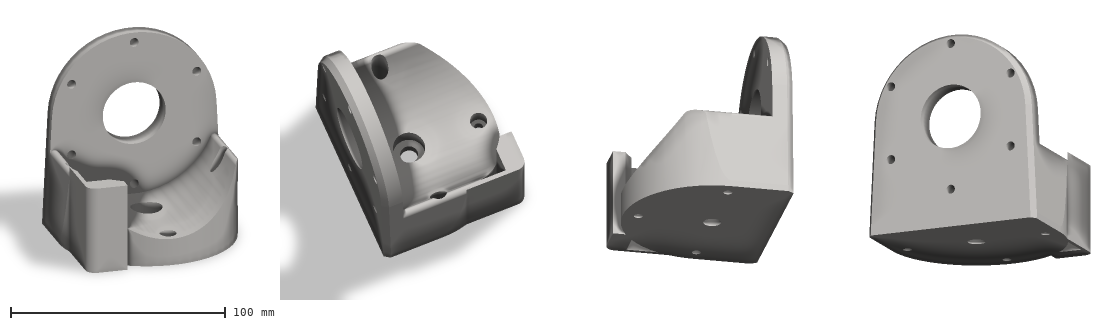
import cadquery as cq
import math

half_width = 42.5
axis_height = 53.0
crown_radius = 40.0
plate_thickness = 10.0
foot_height = 3.0
chamfer_length = 3.0
chamfer_inset = 2.0

bore_diameter = 30.5
bolt_circle_radius = 35.1
bolt_diameter = 4.3
bolt_count = 6

round_center_x = 72.5 - half_width
trough_radius = crown_radius
rim_radius = 2.0

center_hole_diameter = 8.4
center_counterbore_diameter = 15.0
bolt_counterbore_diameter = 8.0
counterbore_floor = 5.0

hook_height = 41.85
hook_outer_y = -40.8
hook_wall = 2.0
hook_end_x = round_center_x + half_width
hook_post_length = 10.0
hook_post_inner_y = -21.8
hook_corner_radius = 4.65
blend_radius = 4.65

side_run = math.hypot(half_width, axis_height - foot_height)
tilt = math.acos(crown_radius / side_run) - math.atan2(axis_height - foot_height, half_width)
contact_y = crown_radius * math.cos(tilt)
contact_z = axis_height + crown_radius * math.sin(tilt)

rim_across = crown_radius - rim_radius
rim_along = math.sqrt((trough_radius + rim_radius) ** 2 - rim_across ** 2)
rim_y = rim_across * math.cos(tilt) + rim_along * math.sin(tilt)
rim_z = axis_height + rim_across * math.sin(tilt) - rim_along * math.cos(tilt)
rim_outer_y = rim_y + rim_radius * math.cos(tilt)
rim_outer_z = rim_z + rim_radius * math.sin(tilt)
rim_inner_share = trough_radius / (trough_radius + rim_radius)
rim_inner_y = rim_y * rim_inner_share
rim_inner_z = axis_height + (rim_z - axis_height) * rim_inner_share


def make_plate():
    floor_y = half_width + foot_height * math.tan(tilt)
    plate = (
        cq.Workplane("YZ")
        .moveTo(-floor_y, 0)
        .lineTo(floor_y, 0)
        .lineTo(contact_y, contact_z)
        .threePointArc((0, axis_height + crown_radius), (-contact_y, contact_z))
        .close()
        .extrude(plate_thickness)
    )
    front_face = plate.faces("<X").val()
    front_edges = [edge for edge in front_face.Edges() if edge.Center().z > foot_height]
    trim = (
        cq.Workplane("XY")
        .rect(2 * plate_thickness, 2 * half_width)
        .extrude(axis_height + crown_radius)
    )
    chamfered = plate.val().chamfer(chamfer_length, chamfer_inset, front_edges)
    plate = cq.Workplane(chamfered).intersect(trim)
    bore = cq.Workplane("YZ").center(0, axis_height).circle(bore_diameter / 2).extrude(plate_thickness)
    bolts = (
        cq.Workplane("YZ")
        .center(0, axis_height)
        .polarArray(bolt_circle_radius, 90, 360, bolt_count)
        .circle(bolt_diameter / 2)
        .extrude(plate_thickness)
    )
    return plate.cut(bore).cut(bolts)


def make_round_end(height):
    return cq.Workplane("XY").center(round_center_x, 0).circle(half_width).extrude(height)


def make_blend():
    arc_y = hook_outer_y - blend_radius
    arc_x = round_center_x + math.sqrt((half_width + blend_radius) ** 2 - arc_y ** 2)
    share = half_width / (half_width + blend_radius)
    tangent = (round_center_x + (arc_x - round_center_x) * share, arc_y * share)
    middle_angle = (math.pi / 2 + math.atan2(-arc_y, round_center_x - arc_x)) / 2
    middle = (
        arc_x + blend_radius * math.cos(middle_angle),
        arc_y + blend_radius * math.sin(middle_angle),
    )
    return (
        cq.Workplane("XY")
        .moveTo(*tangent)
        .threePointArc(middle, (arc_x, hook_outer_y))
        .lineTo(arc_x, hook_outer_y + hook_wall)
        .lineTo(tangent[0], hook_outer_y + hook_wall)
        .close()
        .extrude(hook_height)
    )


def make_base():
    section = (
        cq.Workplane("YZ", origin=(plate_thickness, 0, 0))
        .moveTo(-half_width, 0)
        .lineTo(half_width, 0)
        .lineTo(half_width, foot_height)
        .lineTo(rim_outer_y, rim_outer_z)
        .threePointArc((rim_y, rim_z + rim_radius), (rim_inner_y, rim_inner_z))
        .threePointArc((0, axis_height - trough_radius), (-rim_inner_y, rim_inner_z))
        .threePointArc((-rim_y, rim_z + rim_radius), (-rim_outer_y, rim_outer_z))
        .lineTo(-half_width, foot_height)
        .close()
        .extrude(hook_end_x - plate_thickness)
    )
    straight_length = round_center_x - plate_thickness
    footprint = (
        cq.Workplane("XY", origin=(plate_thickness, 0, 0))
        .rect(2 * straight_length, 2 * half_width)
        .extrude(hook_height)
        .union(make_round_end(hook_height))
        .union(make_blend())
    )
    return section.intersect(footprint)


def make_hook():
    post_x = hook_end_x - hook_post_length
    inner_y = hook_outer_y + hook_wall
    hook = (
        cq.Workplane("XY")
        .moveTo(round_center_x, hook_outer_y)
        .lineTo(hook_end_x, hook_outer_y)
        .lineTo(hook_end_x, hook_post_inner_y)
        .lineTo(post_x, hook_post_inner_y)
        .lineTo(post_x, inner_y)
        .lineTo(round_center_x, inner_y)
        .close()
        .extrude(hook_height)
        .edges(">X and |Z")
        .edges("<Y")
        .fillet(hook_corner_radius)
    )
    return hook.cut(make_round_end(hook_height))


def make_stepped_hole(x, y, diameter, counterbore_diameter):
    through = cq.Workplane("XY").center(x, y).circle(diameter / 2).extrude(hook_height)
    counterbore = (
        cq.Workplane("XY", origin=(x, y, counterbore_floor))
        .circle(counterbore_diameter / 2)
        .extrude(hook_height)
    )
    return through.union(counterbore)


base = make_base()
base = base.cut(make_stepped_hole(round_center_x, 0, center_hole_diameter, center_counterbore_diameter))
for angle in (-90, 0, 90):
    bolt_x = round_center_x + bolt_circle_radius * math.cos(math.radians(angle))
    bolt_y = bolt_circle_radius * math.sin(math.radians(angle))
    base = base.cut(make_stepped_hole(bolt_x, bolt_y, bolt_diameter, bolt_counterbore_diameter))

result = make_plate().union(base).union(make_hook())